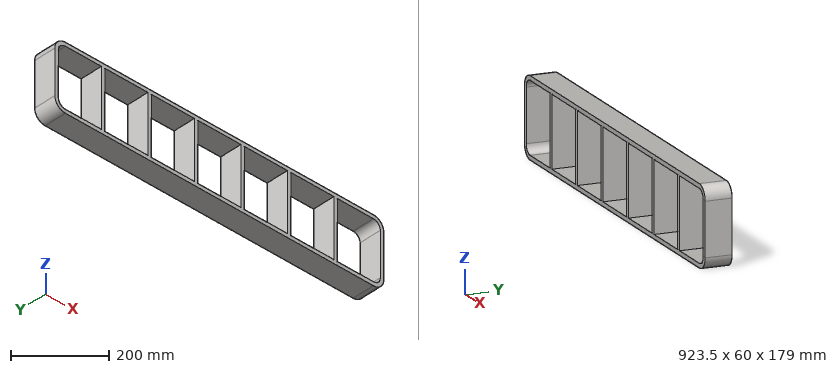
import cadquery as cq

length = 923.5
depth = 60.0
height = 179.0
wall = 10.0
outer_radius = 30.0
inner_radius = outer_radius - wall

cell_count = 7
divider_thickness = 10.0
inner_length = length - 2 * wall
inner_height = height - 2 * wall
cell_width = (inner_length - (cell_count - 1) * divider_thickness) / cell_count
cell_pitch = cell_width + divider_thickness


def rounded_bar(bar_length, bar_height, radius):
    """Bar centred on the origin, with its four long corners rounded along Y."""
    return cq.Workplane("XY").box(bar_length, depth, bar_height).edges("|Y").fillet(radius)


frame = rounded_bar(length, height, outer_radius)
frame = frame.cut(rounded_bar(inner_length, inner_height, inner_radius))

divider_height = inner_height + wall
for index in range(1, cell_count):
    divider_x = (index - cell_count / 2) * cell_pitch
    divider = cq.Workplane("XY").box(divider_thickness, depth, divider_height)
    frame = frame.union(divider.translate((divider_x, 0, 0)))

result = frame